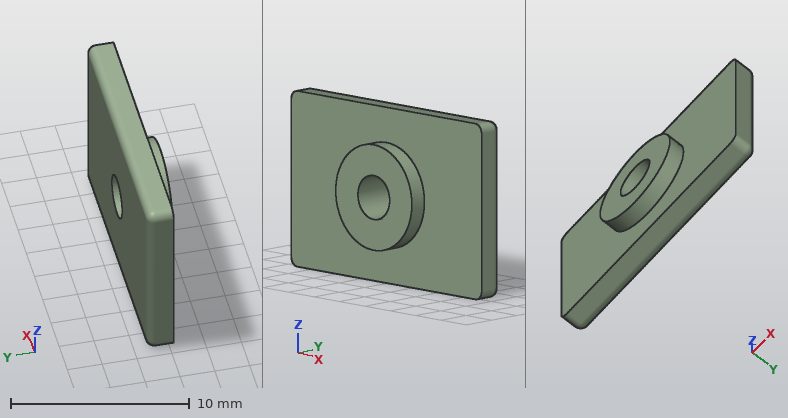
import cadquery as cq

plate_width = 15.0
plate_height = 10.0
plate_thickness = 1.5
edge_radius = 0.5

boss_diameter = 6.0
boss_height = 1.0
hole_diameter = 2.5


def make_plate():
    """Rectangular plate with rounded corners and a rounded back rim."""
    plate = cq.Workplane("XY").box(
        plate_width, plate_thickness, plate_height, centered=(True, False, True)
    )
    return plate.edges("|Y or >Y").fillet(edge_radius)


def make_front_cylinder(diameter, length):
    """Cylinder along +Y that starts at the front face of the boss."""
    front = cq.Workplane("XZ", origin=(0, -boss_height, 0))
    return front.circle(diameter / 2).extrude(-length)


total_depth = boss_height + plate_thickness
boss = make_front_cylinder(boss_diameter, boss_height)
hole = make_front_cylinder(hole_diameter, total_depth)

result = make_plate().union(boss).cut(hole)